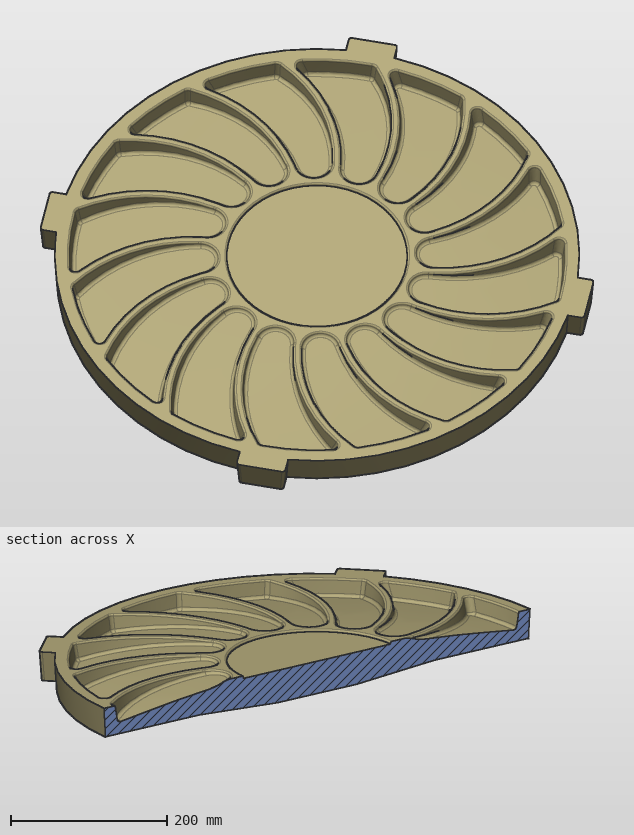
import cadquery as cq
import math

plate_radius = 336.5
plate_height = 40.0
side_draft = 3.5

total_height = 48.0
cone_base_radius = 186.5
cone_tip_radius = 62.5

lug_count = 4
first_lug_angle = 45.0
lug_width = 63.0
lug_reach = 356.0
lug_corner_radius = 4.0

hub_radius = 116.0
hub_depth = 3.5

pocket_count = 16
pocket_outer_radius = 318.0
pocket_inner_radius = 126.5
pocket_draft = 10.0
pocket_corner_radius = 8.0
floor_fillet = 5.0
top_fillet = 3.0

rib_centre_radius = 243.0
rib_centre_angle = 127.7
rib_arc_radius = 207.0
rib_thickness = 10.0

dome_radius = 2153.0
dome_depth = 1.0

origin = (0.0, 0.0)
full_turn = 360.0
halving_steps = 60
pocket_pitch = full_turn / pocket_count


def spin(solid, angle):
    """Solid turned about the plate axis."""
    return solid.rotate((0, 0, 0), (0, 0, 1), angle)


def polar(radius, angle):
    """Point at a radius and an angle in degrees about the plate centre."""
    turn = math.radians(angle)
    return (radius * math.cos(turn), radius * math.sin(turn))


def toward(start, target, distance):
    """Point at a distance from start, on the line through target."""
    share = distance / math.dist(start, target)
    return tuple(a + (b - a) * share for a, b in zip(start, target))


def arc_middle(centre, radius, start, end):
    """Point on a circle halfway along the arc between two of its points."""
    chord_middle = tuple((a + b) / 2 for a, b in zip(start, end))
    return toward(centre, chord_middle, radius)


def circle_crossing(centre, radius, plate_circle_radius):
    """Clockwise crossing of a circle with a circle about the plate centre."""
    distance = math.hypot(*centre)
    cosine = (distance**2 + plate_circle_radius**2 - radius**2) / (2 * distance * plate_circle_radius)
    heading = math.degrees(math.atan2(centre[1], centre[0]))
    return polar(plate_circle_radius, heading - math.degrees(math.acos(cosine)))


def inner_end_centre(front_centre, front_radius, back_centre, back_radius):
    """Centre of the circle that touches both rib walls and the pocket inner radius."""
    smallest = 0.0
    largest = pocket_inner_radius
    for _ in range(halving_steps):
        radius = (smallest + largest) / 2
        centre = circle_crossing(front_centre, front_radius - radius, pocket_inner_radius + radius)
        if math.dist(centre, back_centre) > back_radius + radius:
            smallest = radius
        else:
            largest = radius
    return centre


def make_plate():
    """Drafted disc with its lugs; each bar across the disc gives two opposite lugs."""
    plate = cq.Workplane("XY").circle(plate_radius).extrude(-plate_height, taper=side_draft)
    bar = cq.Workplane("XY").rect(2 * lug_reach, lug_width).extrude(-plate_height, taper=side_draft)
    bar = bar.edges("not #Z").fillet(lug_corner_radius)
    for index in range(lug_count // 2):
        plate = plate.union(spin(bar, first_lug_angle + index * full_turn / lug_count))
    return plate


def make_cone():
    """Truncated cone under the plate, on a core that reaches into the plate."""
    core_top = -plate_height / 2
    profile = [
        (0, core_top),
        (cone_base_radius, core_top),
        (cone_base_radius, -plate_height),
        (cone_tip_radius, -total_height),
        (0, -total_height),
    ]
    return cq.Workplane("XZ").polyline(profile).close().revolve(full_turn, (0, 0), (0, 1))


def make_pocket():
    """Solid of one pocket, between the concave side of one rib and the convex side of the next."""
    front_centre = polar(rib_centre_radius, rib_centre_angle)
    back_centre = polar(rib_centre_radius, rib_centre_angle + pocket_pitch)
    front_radius = rib_arc_radius - rib_thickness / 2
    back_radius = rib_arc_radius + rib_thickness / 2
    end_centre = inner_end_centre(front_centre, front_radius, back_centre, back_radius)

    front_outer = circle_crossing(front_centre, front_radius, pocket_outer_radius)
    back_outer = circle_crossing(back_centre, back_radius, pocket_outer_radius)
    front_inner = toward(front_centre, end_centre, front_radius)
    back_inner = toward(back_centre, end_centre, back_radius)
    inner_tip = toward(origin, end_centre, pocket_inner_radius)

    pocket = (
        cq.Workplane("XY")
        .moveTo(*front_inner)
        .threePointArc(arc_middle(front_centre, front_radius, front_inner, front_outer), front_outer)
        .threePointArc(arc_middle(origin, pocket_outer_radius, front_outer, back_outer), back_outer)
        .threePointArc(arc_middle(back_centre, back_radius, back_outer, back_inner), back_inner)
        .threePointArc(inner_tip, front_inner)
        .close()
        .extrude(-plate_height, taper=pocket_draft)
    )
    for corner in (front_outer, back_outer):
        beside_corner = cq.selectors.NearestToPointSelector((*corner, -plate_height / 2))
        pocket = pocket.edges(beside_corner).fillet(pocket_corner_radius)

    dome = cq.Workplane("XY").sphere(dome_radius).translate((0, 0, -dome_depth - dome_radius))
    return pocket.cut(dome).faces("<Z").edges().fillet(floor_fillet)


body = make_plate().union(make_cone())

pocket = make_pocket()
for index in range(pocket_count):
    body = body.cut(spin(pocket, index * pocket_pitch))

hub_recess = cq.Workplane("XY").circle(hub_radius).extrude(-hub_depth)
body = body.cut(hub_recess)

top_face = body.faces(">Z").val()
opening_edges = [edge for wire in top_face.innerWires() for edge in wire.Edges()]
body = body.newObject(opening_edges).fillet(top_fillet)

result = cq.Workplane(body.solids().val())